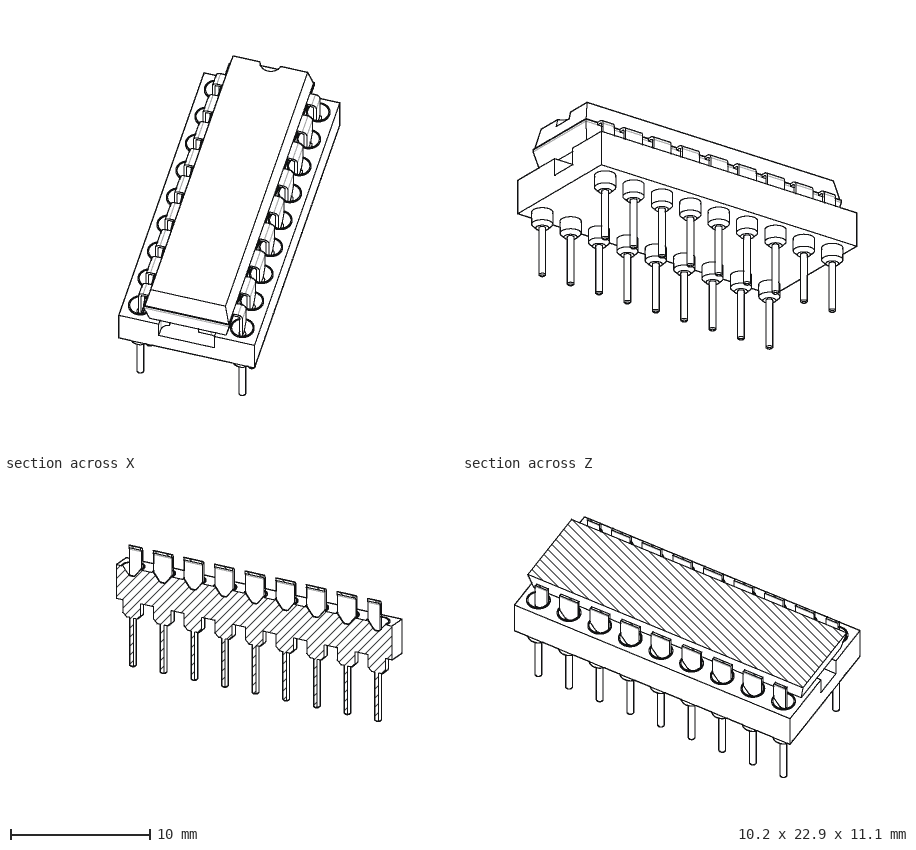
import cadquery as cq

LENGTH = 22.85
PINS_PER_ROW = 9
PITCH = LENGTH / PINS_PER_ROW
ROW_X = 1.5 * PITCH
SIDES = (-1, 1)
PIN_YS = [(i - (PINS_PER_ROW - 1) / 2) * PITCH for i in range(PINS_PER_ROW)]

SOCKET_WIDTH = 10.15
SOCKET_HEIGHT = 2.67

RECESS_WIDTH = 4.15
RECESS_DEPTH = 1.33
RECESS_LENGTH = 1.05
RECESS_RADIUS = 0.5
CHANNEL_LEFT = -RECESS_WIDTH / 2 + RECESS_RADIUS
CHANNEL_RIGHT = 0.6

RIM_DIAMETER = 1.71
RIM_HEIGHT = 0.05
MOUTH_DIAMETER = 1.53
MOUTH_DEPTH = 0.69
COLLAR_DIAMETER = 1.53
COLLAR_HEIGHT = 1.25
COLLAR_CHAMFER = 0.3
PIN_DIAMETER = 0.5
PIN_LENGTH = 5.07
PIN_CHAMFER = 0.1

BAND_WIDTH = 6.4
BAND_HEIGHT = 0.2
LOWER_HALF_HEIGHT = 1.53
BAND_BOTTOM = SOCKET_HEIGHT + LOWER_HALF_HEIGHT
BAND_TOP = BAND_BOTTOM + BAND_HEIGHT
CHIP_TOP = 6.0
UPPER_LEDGE = 0.07
TAPER = 0.35

NOTCH_RADIUS = 0.78
NOTCH_Y = 11.13
NOTCH_DEPTH = 0.6

LEAD_THICKNESS = BAND_HEIGHT
LEAD_WIDTH = 1.53
LEAD_OUTER_X = 3.89
LEAD_BEND = 0.35
END_LEAD_OVERHANG = 0.23


def box(x0, x1, y0, y1, z0, z1):
    return cq.Workplane("XY").box(x1 - x0, y1 - y0, z1 - z0, centered=False).translate((x0, y0, z0))


def socket_block():
    end_y = LENGTH / 2
    block = box(-SOCKET_WIDTH / 2, SOCKET_WIDTH / 2, -end_y, end_y, 0, SOCKET_HEIGHT)
    floor = SOCKET_HEIGHT - RECESS_DEPTH
    recess = box(-RECESS_WIDTH / 2, RECESS_WIDTH / 2, -end_y, -end_y + RECESS_LENGTH, floor, SOCKET_HEIGHT)
    recess = recess.edges("|Z and >Y").fillet(RECESS_RADIUS)
    channel = box(CHANNEL_LEFT, CHANNEL_RIGHT, -end_y, end_y, floor, SOCKET_HEIGHT)
    return block.cut(recess).cut(channel)


def socket_pin():
    """Rim, collar and pin turned about the Z axis, without the funnel."""
    rim = RIM_DIAMETER / 2
    collar = COLLAR_DIAMETER / 2
    pin = PIN_DIAMETER / 2
    rim_top = SOCKET_HEIGHT + RIM_HEIGHT
    profile = [
        (0, rim_top),
        (rim, rim_top),
        (rim, SOCKET_HEIGHT),
        (collar, SOCKET_HEIGHT),
        (collar, COLLAR_CHAMFER - COLLAR_HEIGHT),
        (collar - COLLAR_CHAMFER, -COLLAR_HEIGHT),
        (pin, -COLLAR_HEIGHT),
        (pin, PIN_CHAMFER - PIN_LENGTH),
        (pin - PIN_CHAMFER, -PIN_LENGTH),
        (0, -PIN_LENGTH),
    ]
    return cq.Workplane("XZ").polyline(profile).close().revolve(360, (0, 0), (0, 1))


def funnel():
    """Conical mouth that narrows to the pin diameter."""
    rim_top = SOCKET_HEIGHT + RIM_HEIGHT
    profile = [
        (0, rim_top),
        (MOUTH_DIAMETER / 2, rim_top),
        (PIN_DIAMETER / 2, rim_top - MOUTH_DEPTH),
        (0, rim_top - MOUTH_DEPTH),
    ]
    return cq.Workplane("XZ").polyline(profile).close().revolve(360, (0, 0), (0, 1))


def make_socket():
    socket = socket_block()
    for side in SIDES:
        for y in PIN_YS:
            place = (side * ROW_X, y, 0)
            socket = socket.union(socket_pin().translate(place)).cut(funnel().translate(place))
    return socket


def chip_half(base_z, end_z, ledge):
    """Tapered half of the chip, from the band at base_z to its flat face at end_z.

    Its base is set in from the band by the ledge on all four sides.
    """
    base_width = BAND_WIDTH - 2 * ledge
    base_length = LENGTH - 2 * ledge
    return (
        cq.Workplane("XY", origin=(0, 0, base_z))
        .rect(base_width, base_length)
        .workplane(offset=end_z - base_z)
        .rect(base_width - 2 * TAPER, base_length - 2 * TAPER)
        .loft(ruled=True)
    )


def chip_body():
    half_x = BAND_WIDTH / 2
    half_y = LENGTH / 2
    body = box(-half_x, half_x, -half_y, half_y, BAND_BOTTOM, BAND_TOP)
    body = body.union(chip_half(BAND_TOP, CHIP_TOP, UPPER_LEDGE))
    body = body.union(chip_half(BAND_BOTTOM, SOCKET_HEIGHT, 0))
    notch = (
        cq.Workplane("XY", origin=(0, NOTCH_Y, CHIP_TOP - NOTCH_DEPTH))
        .circle(NOTCH_RADIUS)
        .extrude(NOTCH_DEPTH)
    )
    return body.cut(notch)


def lead(y0, y1):
    """Lead on the +X side: out of the band, round the bend and down to the funnel's bottom."""
    tip_z = SOCKET_HEIGHT + RIM_HEIGHT - MOUTH_DEPTH
    inner_x = BAND_WIDTH / 2
    outer = box(inner_x, LEAD_OUTER_X, y0, y1, tip_z, BAND_TOP)
    outer = outer.edges("|Y and >X and >Z").fillet(LEAD_BEND)
    inside = box(inner_x, LEAD_OUTER_X - LEAD_THICKNESS, y0, y1, tip_z, BAND_TOP - LEAD_THICKNESS)
    inside = inside.edges("|Y and >X and >Z").fillet(LEAD_BEND - LEAD_THICKNESS)
    return outer.cut(inside)


def make_chip(socket):
    chip = chip_body()
    for y in PIN_YS:
        y0 = y - (END_LEAD_OVERHANG if y == PIN_YS[0] else LEAD_WIDTH / 2)
        y1 = y + (END_LEAD_OVERHANG if y == PIN_YS[-1] else LEAD_WIDTH / 2)
        right_lead = lead(y0, y1)
        chip = chip.union(right_lead).union(right_lead.mirror("YZ"))
    return chip.cut(socket)


socket = make_socket()
chip = make_chip(socket)

result = cq.Compound.makeCompound([socket.solids().val(), chip.solids().val()])